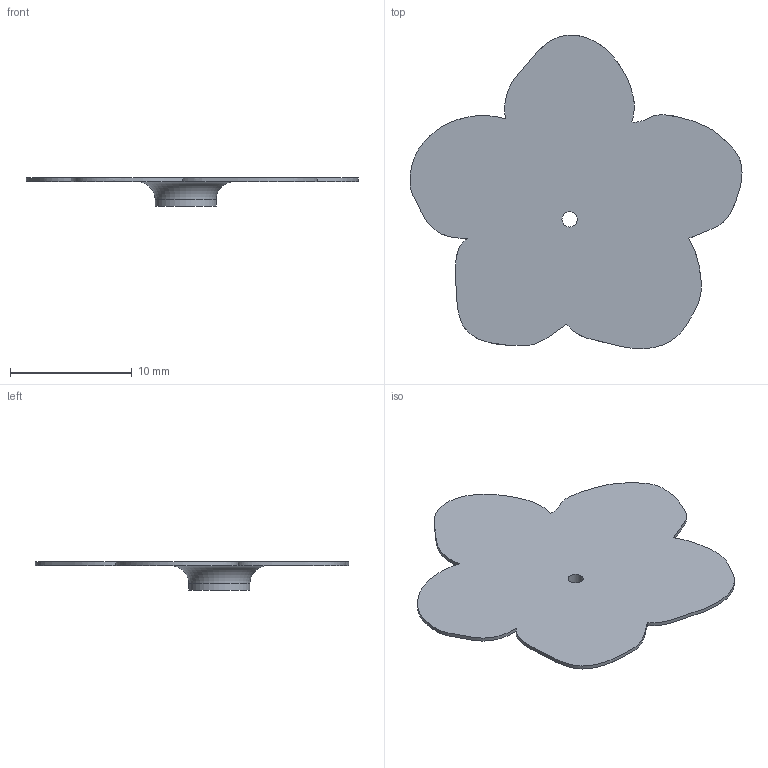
import cadquery as cq
import math

TOTAL_HEIGHT = 2.3
PLATE_THICKNESS = 0.3
HUB_DIAMETER = 5.0
BORE_DIAMETER = 1.25
FLARE_RADIUS = 1.5

HUB_RADIUS = HUB_DIAMETER / 2
PLATE_BOTTOM = TOTAL_HEIGHT - PLATE_THICKNESS
FLARE_START = PLATE_BOTTOM - FLARE_RADIUS

NOTCH_UPPER_LEFT = (-5.25, 8.25)
NOTCH_UPPER_RIGHT = (5.1, 8.0)
NOTCH_LOWER_RIGHT = (9.8, -1.55)
NOTCH_BOTTOM = (-0.25, -8.6)
NOTCH_LOWER_LEFT = (-8.4, -1.55)

PETALS = [
    (NOTCH_UPPER_LEFT, [
        (-5.3, 9.6), (-4.75, 11.2), (-3.35, 12.95), (-2.1, 14.3), (-0.8, 15.0),
        (0.9, 15.05), (2.7, 14.2), (3.9, 12.95), (4.8, 11.4), (5.28, 9.75),
    ]),
    (NOTCH_UPPER_RIGHT, [
        (6.1, 8.15), (6.85, 8.48), (8.5, 8.5), (10.2, 8.05), (11.7, 7.35), (13.05, 6.2),
        (14.0, 4.85), (14.1, 3.15), (13.65, 1.5), (12.6, -0.25), (11.4, -0.9),
    ]),
    (NOTCH_LOWER_RIGHT, [
        (10.45, -3.1), (10.78, -4.8), (10.7, -6.45), (10.0, -8.0), (9.05, -9.4), (7.65, -10.3),
        (6.0, -10.62), (4.3, -10.45), (2.65, -10.05), (1.7, -9.85), (0.85, -9.5),
    ]),
    (NOTCH_BOTTOM, [
        (-1.5, -9.5), (-2.9, -10.25), (-4.4, -10.38), (-5.9, -10.25), (-7.4, -9.85),
        (-8.6, -8.95), (-9.15, -7.55), (-9.32, -6.0), (-9.32, -3.25), (-9.0, -2.2),
    ]),
    (NOTCH_LOWER_LEFT, [
        (-9.5, -1.5), (-10.4, -1.25), (-11.5, -0.45), (-12.35, 0.95), (-13.03, 2.45),
        (-13.03, 4.05), (-12.5, 5.6), (-11.5, 6.85), (-10.15, 7.8), (-8.6, 8.35), (-6.9, 8.53),
    ]),
]


def flower_plate():
    """Flat five-petal plate."""
    outline = cq.Workplane("XY").workplane(offset=PLATE_BOTTOM).moveTo(*NOTCH_UPPER_LEFT)
    next_petals = PETALS[1:] + PETALS[:1]
    for (_, petal_points), (end_notch, _) in zip(PETALS, next_petals):
        outline = outline.spline(petal_points + [end_notch], includeCurrent=True)
    return outline.wire().extrude(PLATE_THICKNESS)


def flared_hub():
    """Round hub whose side flares out tangentially into the plate, run up to the plate's top face."""
    flare_outer_radius = HUB_RADIUS + FLARE_RADIUS
    half_diagonal = FLARE_RADIUS * math.sqrt(0.5)
    flare_middle = (flare_outer_radius - half_diagonal, FLARE_START + half_diagonal)
    return (
        cq.Workplane("XZ")
        .lineTo(HUB_RADIUS, 0)
        .lineTo(HUB_RADIUS, FLARE_START)
        .threePointArc(flare_middle, (flare_outer_radius, PLATE_BOTTOM))
        .lineTo(flare_outer_radius, TOTAL_HEIGHT)
        .lineTo(0, TOTAL_HEIGHT)
        .close()
        .revolve(360, (0, 0, 0), (0, 1, 0))
    )


def bore():
    """Cylinder that opens the hole right through the plate and hub."""
    return cq.Workplane("XY").circle(BORE_DIAMETER / 2).extrude(TOTAL_HEIGHT)


result = flower_plate().union(flared_hub()).cut(bore()).clean()